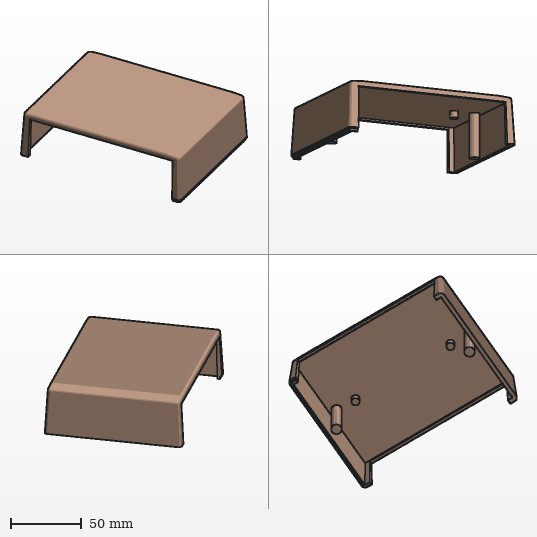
import cadquery as cq
import math

LENGTH = 130.0
WIDTH = 100.0
TOP_HEIGHT = 35.0
OUTER_DRAFT = 3.0
CORNER_RADIUS = 3.0
TOP_EDGE_RADIUS = 2.1

FLAT_HALF_LENGTH = 53.3
DECK_SLOPE = 4.0

INNER_DRAFT = 1.0
WALL = 3.0
END_FRAME = 3.4
WINDOW_HALF_LENGTH = 58.1
WINDOW_HEIGHT = 30.5

LIP_DEPTH = 2.5
LIP_STEPS = [(0.5, 0.9), (1.4, LIP_DEPTH)]

POST_X = 55.9
POST_RADIUS = 3.8
POST_DROP = 0.32
PEG_X = 39.9
PEG_TIP_RADIUS = 2.9
PEG_TIP_HEIGHT = 27.0
PEG_DRAFT = 1.0

CAVITY_HEIGHT = TOP_HEIGHT - WALL
ROOT_HEIGHT = TOP_HEIGHT - WALL / 2


def drafted_block(length, width, height, draft):
    """Block standing on Z = 0 whose four sides lean inwards by the draft angle."""
    return cq.Workplane("XY").rect(length, width).extrude(height, taper=draft)


def full_width_prism(points):
    """Prism across the whole width along Y with the given XZ outline."""
    return cq.Workplane("XZ").polyline(points).close().extrude(WIDTH / 2, both=True)


def outer_body():
    half_length = LENGTH / 2
    edge_height = TOP_HEIGHT - (half_length - FLAT_HALF_LENGTH) * math.tan(math.radians(DECK_SLOPE))
    envelope = full_width_prism(
        [
            (-half_length, 0),
            (half_length, 0),
            (half_length, edge_height),
            (FLAT_HALF_LENGTH, TOP_HEIGHT),
            (-FLAT_HALF_LENGTH, TOP_HEIGHT),
            (-half_length, edge_height),
        ]
    )
    block = drafted_block(LENGTH, WIDTH, TOP_HEIGHT, OUTER_DRAFT).intersect(envelope)
    block = block.faces("<X or >X").edges("not |Y").fillet(CORNER_RADIUS)
    deck_rim = block.faces(">Z").edges("|X").add(block.faces("<X or >X").edges(">Z"))
    return deck_rim.fillet(TOP_EDGE_RADIUS)


def lip():
    """Stepped locating lip along the outer outline; trimmed later by the hollow and window."""
    steps = cq.Workplane("XY")
    for inset, depth in LIP_STEPS:
        step = (
            cq.Workplane("XY")
            .rect(LENGTH - 2 * inset, WIDTH - 2 * inset)
            .extrude(-depth)
            .edges("|Z")
            .fillet(CORNER_RADIUS - inset)
        )
        steps = steps.add(step)
    steps = steps.combine()
    plus_x_side = cq.Workplane("XY").box(LENGTH, WIDTH, LIP_DEPTH, centered=(False, True, False))
    return steps.intersect(plus_x_side.translate((0, 0, -LIP_DEPTH)))


def hollow():
    length = LENGTH - 2 * WALL
    width = WIDTH - 2 * END_FRAME
    above_rim = drafted_block(length, width, CAVITY_HEIGHT, INNER_DRAFT)
    below_rim = cq.Workplane("XY").rect(length, width).extrude(-LIP_DEPTH)
    return above_rim.union(below_rim)


def window():
    top_half_length = WINDOW_HALF_LENGTH - WINDOW_HEIGHT * math.tan(math.radians(INNER_DRAFT))
    return full_width_prism(
        [
            (-WINDOW_HALF_LENGTH, -LIP_DEPTH),
            (WINDOW_HALF_LENGTH, -LIP_DEPTH),
            (WINDOW_HALF_LENGTH, 0),
            (top_half_length, WINDOW_HEIGHT),
            (-top_half_length, WINDOW_HEIGHT),
            (-WINDOW_HALF_LENGTH, 0),
        ]
    )


def hanging_posts():
    base = cq.Workplane("XY").workplane(offset=-POST_DROP)
    return base.pushPoints([(-POST_X, 0), (POST_X, 0)]).circle(POST_RADIUS).extrude(ROOT_HEIGHT + POST_DROP)


def hanging_pegs():
    base = cq.Workplane("XY").workplane(offset=PEG_TIP_HEIGHT)
    tips = base.pushPoints([(-PEG_X, 0), (PEG_X, 0)]).circle(PEG_TIP_RADIUS)
    return tips.extrude(ROOT_HEIGHT - PEG_TIP_HEIGHT, taper=-PEG_DRAFT)


cover = outer_body().union(lip())
cover = cover.cut(hollow()).cut(window())
result = cover.union(hanging_posts()).union(hanging_pegs())